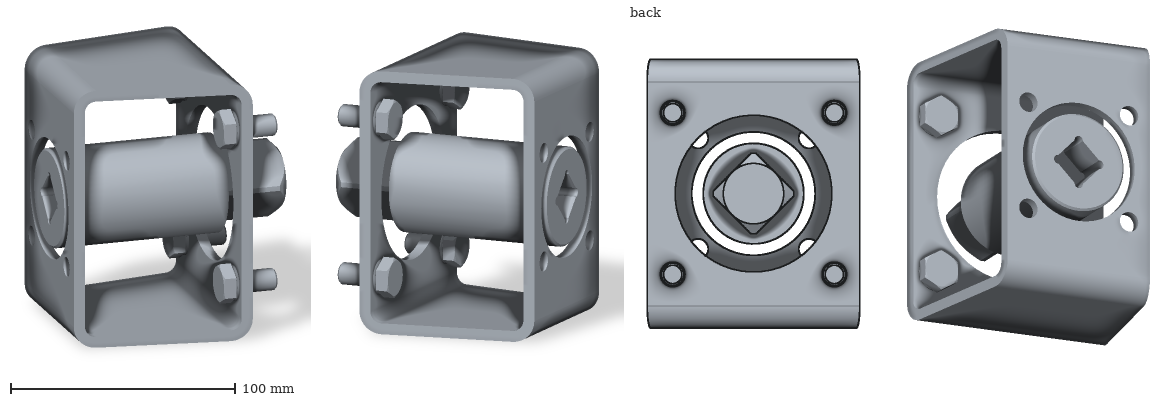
import cadquery as cq
import math

bracket_depth = 80.0
bracket_height = 120.0
wall = 5.0
corner_radius = 10.0
rear_width = 95.0
front_width = 70.0
front_bore = 55.0
front_hole = 9.0
front_pitch_circle = 70.0
rear_bore = 70.0
rear_hole = 11.0
rear_pitch_circle = 102.0

barrel_diameter = 45.0
barrel_front = 0.0
barrel_rear = 77.0
barrel_chamfer = 1.0
socket_flats = 17.0
socket_depth = 20.0
relief_radius = 2.0
relief_centre = 10.15
drive_flats = 27.0
drive_corner_diameter = 36.0
drive_rear = 107.0
drive_chamfer = (drive_corner_diameter - drive_flats) / 2

washer_outer = 16.0
washer_inner = 10.5
washer_thickness = 1.0
washer_chamfer = 0.5

bolt_seat = bracket_depth - wall - washer_thickness
bolt_diameter = 10.0
bolt_length = 20.0
bolt_tip_diameter = 8.2
bolt_tip_length = 0.9
head_flats = 16.0
head_height = 6.4
head_chamfer_angle = 30.0
collar_diameter = 14.63
collar_height = 0.6


def rear_facing(y):
    """Workplane normal to +Y at the given depth; its local axes are -X and Z."""
    return cq.Workplane("XZ", origin=(0, y, 0)).transformed(rotate=(0, 180, 0))


def square_pattern(pitch_circle):
    """Four places on a pitch circle, on the diagonals."""
    offset = pitch_circle / 2 / math.sqrt(2)
    return [(x, z) for x in (-offset, offset) for z in (-offset, offset)]


def diagonal_square(y, flats, length):
    """Square bar along +Y standing on its corner."""
    return rear_facing(y).polygon(4, flats * math.sqrt(2)).extrude(length)


def revolved_about_y(outline, y):
    """Turned solid along +Y from the given depth; the outline lists (radius, distance) points."""
    turned = cq.Workplane("XY").polyline(outline).close().revolve(360, (0, 0, 0), (0, 1, 0))
    return turned.translate((0, y, 0))


def tube_block(inset):
    """Rounded block across the full bracket width, shrunk by the inset all round."""
    return (
        cq.Workplane("YZ")
        .center(bracket_depth / 2, 0)
        .rect(bracket_depth - 2 * inset, bracket_height - 2 * inset)
        .extrude(rear_width / 2, both=True)
        .edges("|X")
        .fillet(corner_radius - inset)
    )


def make_bracket():
    taper_outline = [
        (-front_width / 2, 0),
        (front_width / 2, 0),
        (rear_width / 2, bracket_depth),
        (-rear_width / 2, bracket_depth),
    ]
    taper = cq.Workplane("XY").polyline(taper_outline).close().extrude(bracket_height / 2, both=True)
    body = tube_block(0).cut(tube_block(wall)).intersect(taper)

    front_cut = rear_facing(0)
    rear_cut = rear_facing(bracket_depth - wall)
    return (
        body.cut(front_cut.circle(front_bore / 2).extrude(wall))
        .cut(front_cut.pushPoints(square_pattern(front_pitch_circle)).circle(front_hole / 2).extrude(wall))
        .cut(rear_cut.circle(rear_bore / 2).extrude(wall))
        .cut(rear_cut.pushPoints(square_pattern(rear_pitch_circle)).circle(rear_hole / 2).extrude(wall))
    )


def make_spindle():
    barrel = rear_facing(barrel_front).circle(barrel_diameter / 2).extrude(barrel_rear - barrel_front)
    barrel = barrel.faces("<Y").chamfer(barrel_chamfer)

    drive_length = drive_rear - barrel_rear
    drive_round = rear_facing(barrel_rear).circle(drive_corner_diameter / 2).extrude(drive_length)
    drive_round = drive_round.faces(">Y").chamfer(drive_chamfer)
    drive = diagonal_square(barrel_rear, drive_flats, drive_length).intersect(drive_round)

    socket = diagonal_square(barrel_front, socket_flats, socket_depth)
    for quarter in range(4):
        angle = quarter * math.pi / 2
        x = relief_centre * math.cos(angle)
        z = relief_centre * math.sin(angle)
        relief = rear_facing(barrel_front).center(x, z).circle(relief_radius).extrude(socket_depth)
        socket = socket.union(relief)
    return barrel.union(drive).cut(socket)


def make_washer(x, z):
    ring = rear_facing(bolt_seat).circle(washer_outer / 2).extrude(washer_thickness)
    ring = ring.faces("<Y").chamfer(washer_chamfer)
    hole = rear_facing(bolt_seat).circle(washer_inner / 2).extrude(washer_thickness)
    return ring.cut(hole).translate((x, 0, z))


def make_bolt(x, z):
    hexagon_height = head_height - collar_height
    head_corners = head_flats / math.cos(math.pi / 6)
    crown_drop = (head_corners - head_flats) / 2 * math.tan(math.radians(head_chamfer_angle))

    hexagon = (
        rear_facing(bolt_seat - head_height)
        .polygon(6, head_corners)
        .extrude(hexagon_height)
        .rotate((0, 0, 0), (0, 1, 0), 90)
    )
    crown_outline = [
        (0, 0),
        (head_flats / 2, 0),
        (head_corners / 2, crown_drop),
        (head_corners / 2, hexagon_height),
        (0, hexagon_height),
    ]
    head = hexagon.intersect(revolved_about_y(crown_outline, bolt_seat - head_height))

    collar = rear_facing(bolt_seat - collar_height).circle(collar_diameter / 2).extrude(collar_height)
    shank_outline = [
        (0, 0),
        (bolt_diameter / 2, 0),
        (bolt_diameter / 2, bolt_length - bolt_tip_length),
        (bolt_tip_diameter / 2, bolt_length),
        (0, bolt_length),
    ]
    shank = revolved_about_y(shank_outline, bolt_seat)
    return head.union(collar).union(shank).translate((x, 0, z))


bracket = make_bracket()
spindle = make_spindle()
bolt_places = square_pattern(rear_pitch_circle)
washers = [make_washer(x, z).val() for x, z in bolt_places]
bolts = [make_bolt(x, z).val() for x, z in bolt_places]

result = cq.Compound.makeCompound([bracket.val(), spindle.val(), *washers, *bolts])